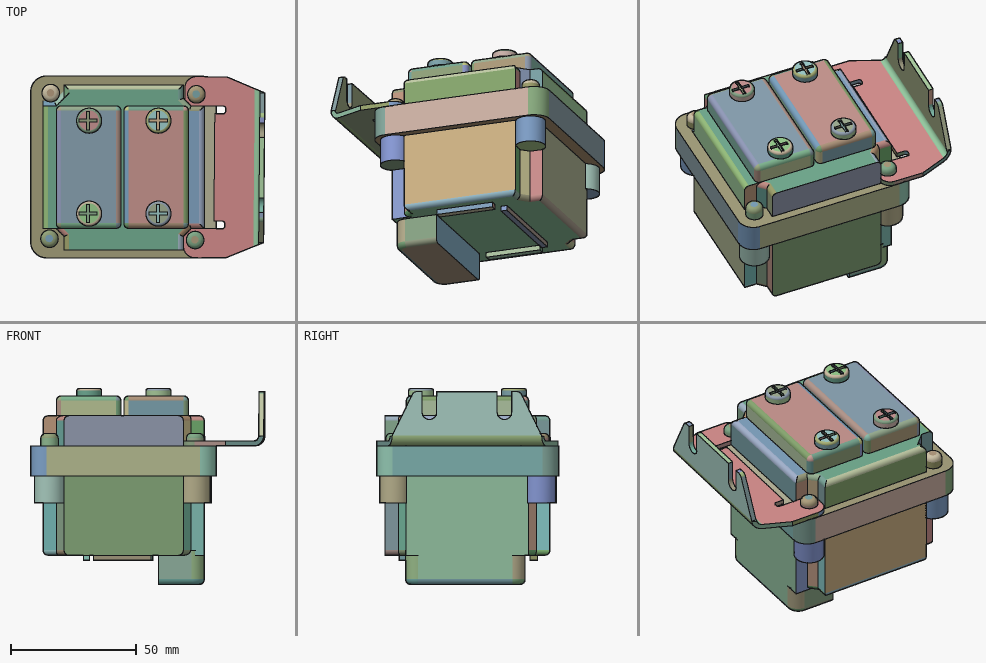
import cadquery as cq


FLANGE_X = 74.0
FLANGE_Y = 72.58
FLANGE_THICKNESS = 12.0
FLANGE_CORNER_RADIUS = 6.5

HOUSING_CENTRE = (0.1, -0.15)
HOUSING_HALF_X = 32.1
HOUSING_HALF_Y = 32.85
ARM_HALF_X = 23.75
ARM_HALF_Y = 24.4
CORNER_STEP = 3.1
HOUSING_TOP = 12.0
HOUSING_BOTTOM = -43.57
EDGE_RADIUS = 2.0
TOLERANCE = 0.01

COVERS_CENTRE_X = -0.4
COVER_CENTRE_Y = -0.1
COVER_WIDTH = 25.8
COVER_LENGTH = 2 * ARM_HALF_Y
COVER_GAP = 1.1
COVER_HEIGHT = 7.9
COVER_TOP = HOUSING_TOP + COVER_HEIGHT
TERMINAL_CENTRE_X = 0.15
TERMINAL_PITCH_X = 27.6
TERMINAL_PITCH_Y = 37.0
TERMINAL_DIAMETER = 10.0
TERMINAL_HEIGHT = 3.0
TERMINAL_RADIUS = 1.0
CROSS_LENGTH = 7.2
CROSS_WIDTH = 1.2
CROSS_DEPTH = 1.0
CROSS_SHIFTS = {-1: -0.5, 1: -0.1}

PATTERN_ORIGIN = (-0.2, 0.15)
PATTERN_ANGLE = -0.5
SCREW_PITCH = 58.0
SCREW_HEAD_DIAMETER = 7.0
SCREW_HEAD_HEIGHT = 5.0
SCREW_HEAD_RADIUS = 2.0
BOSS_DIAMETER = 12.0
BOSS_BOTTOM = -22.66

SHEET = 2.0
BEND_RADIUS = 2 * SHEET
BRACKET_HALF_Y = 36.05
BRACKET_START = 24.4
BRACKET_END = 56.3
BRACKET_CORNER_RADIUS = 4.5
TAPER_START = 41.2
TAPER_END = BRACKET_END - BEND_RADIUS
UPRIGHT_TOP = 21.6
UPRIGHT_HALF_BASE = 29.8
UPRIGHT_HALF_TOP = 21.2
EAR_RADIUS = 2.0
FORK_WIDTH = 5.8
FORK_PITCH = 29.9
FORK_CENTRE_Z = 13.4
WINDOW_END = 36.4
WINDOW_HALF_Y = ARM_HALF_Y
RELIEF_END = 40.7
RELIEF_WIDTH = 3.0
RELIEF_RADIUS = 1.0

FOOT_START = 13.9
FOOT_END = HOUSING_CENTRE[0] + HOUSING_HALF_X
FOOT_CENTRE_Y = -0.95
FOOT_LENGTH = 47.6
FOOT_BOTTOM = -55.2
FOOT_CORNER_RADIUS = 5.0
RIB_HEIGHT = 2.0
SIDE_RIB_START = -12.0
SIDE_RIB_WIDTH = 3.1
REAR_RIB = (26.3, 11.7)
FRONT_RIB = (-25.8, 10.95)
END_RIB_X = -14.75
END_RIB_WIDTH = 2.5
END_RIB_LENGTH = 44.5


def block(x_range, y_range, z_range):
    size = [end - start for start, end in (x_range, y_range, z_range)]
    corner = (x_range[0], y_range[0], z_range[0])
    return cq.Workplane("XY").box(*size, centered=False).translate(corner)


def span(centre, length):
    return (centre - length / 2, centre + length / 2)


def cylinder(diameter, bottom, top):
    return cq.Workplane("XY").workplane(offset=bottom).circle(diameter / 2).extrude(top - bottom)


def at_pattern(shape):
    """Turn a shape made about the screw pattern axis and put it in place."""
    return shape.rotate((0, 0, 0), (0, 0, 1), PATTERN_ANGLE).translate((*PATTERN_ORIGIN, 0))


def cross_outline():
    quarter = [
        (HOUSING_HALF_X, ARM_HALF_Y),
        (ARM_HALF_X + CORNER_STEP, ARM_HALF_Y),
        (ARM_HALF_X, ARM_HALF_Y + CORNER_STEP),
        (ARM_HALF_X, HOUSING_HALF_Y),
    ]
    mirrored = [(-x, y) for x, y in reversed(quarter)]
    upper = quarter + mirrored
    return upper + [(-x, -y) for x, y in upper]


def outline_edges(shape, height, excluded):
    """Edges of the cross outline at one height, without the excluded ones."""
    kept = []
    at_centre = cq.selectors.NearestToPointSelector((*HOUSING_CENTRE, height))
    for edge in shape.faces(at_centre).edges().vals():
        middle = edge.Center()
        place = (middle.x - HOUSING_CENTRE[0], middle.y - HOUSING_CENTRE[1])
        if not any(test(*place) for test in excluded):
            kept.append(edge)
    return kept


def on_front_face(x, y):
    return y < -HOUSING_HALF_Y + EDGE_RADIUS


def on_left_arm_side(x, y):
    return x < -ARM_HALF_X - CORNER_STEP and abs(y) > ARM_HALF_Y / 2


def on_right_arm(x, y):
    return x > ARM_HALF_X + CORNER_STEP


def on_rear_left_step(x, y):
    return -ARM_HALF_X - CORNER_STEP < x < -ARM_HALF_X and y > ARM_HALF_Y


def make_housing():
    housing = (
        cq.Workplane("XY")
        .workplane(offset=HOUSING_BOTTOM)
        .polyline(cross_outline())
        .close()
        .extrude(HOUSING_TOP - HOUSING_BOTTOM)
        .translate((*HOUSING_CENTRE, 0))
    )
    plain_top = [on_front_face, on_left_arm_side, on_rear_left_step]
    top = outline_edges(housing, HOUSING_TOP, plain_top)
    housing = housing.newObject(top).fillet(EDGE_RADIUS)
    bottom = outline_edges(housing, HOUSING_BOTTOM, [on_front_face, on_right_arm])
    return housing.newObject(bottom).fillet(EDGE_RADIUS)


def make_flange():
    flange = block(span(0, FLANGE_X), span(0, FLANGE_Y), (-FLANGE_THICKNESS, 0))
    return flange.edges("|Z").fillet(FLANGE_CORNER_RADIUS)


def add_root_fillet(body):
    """Blend the rear left step and arm side of the housing into the flange."""
    roots = []
    for edge in body.edges("#Z").vals():
        middle = edge.Center()
        x = middle.x - HOUSING_CENTRE[0]
        y = middle.y - HOUSING_CENTRE[1]
        inside = abs(x) < HOUSING_HALF_X and abs(y) < HOUSING_HALF_Y
        on_arm = on_left_arm_side(x, y) and y > 0
        if abs(middle.z) < TOLERANCE and inside and (on_arm or on_rear_left_step(x, y)):
            roots.append(edge)
    return body.newObject(roots).fillet(EDGE_RADIUS)


def make_cover(side):
    centre_x = COVERS_CENTRE_X + side * (COVER_WIDTH + COVER_GAP) / 2
    cover = block(
        span(centre_x, COVER_WIDTH),
        span(COVER_CENTRE_Y, COVER_LENGTH),
        (HOUSING_TOP, COVER_TOP),
    )
    return cover.edges("|Z or >Z").fillet(EDGE_RADIUS)


def make_terminal_screw(cross_x):
    top = COVER_TOP + TERMINAL_HEIGHT
    screw = cylinder(TERMINAL_DIAMETER, COVER_TOP, top).faces(">Z").edges().fillet(TERMINAL_RADIUS)
    depth = (top - CROSS_DEPTH, top)
    for length_x, length_y in ((CROSS_LENGTH, CROSS_WIDTH), (CROSS_WIDTH, CROSS_LENGTH)):
        screw = screw.cut(block(span(cross_x, length_x), span(0, length_y), depth))
    return screw


def make_corner_screw():
    head = cylinder(SCREW_HEAD_DIAMETER, 0, SCREW_HEAD_HEIGHT)
    head = head.faces(">Z").edges().fillet(SCREW_HEAD_RADIUS)
    return head.union(cylinder(BOSS_DIAMETER, BOSS_BOTTOM, -FLANGE_THICKNESS))


def make_bracket():
    profile = (
        cq.Workplane("XZ")
        .moveTo(BRACKET_START, 0)
        .lineTo(TAPER_END, 0)
        .radiusArc((BRACKET_END, BEND_RADIUS), -BEND_RADIUS)
        .lineTo(BRACKET_END, UPRIGHT_TOP)
        .lineTo(BRACKET_END - SHEET, UPRIGHT_TOP)
        .lineTo(BRACKET_END - SHEET, BEND_RADIUS)
        .radiusArc((TAPER_END, SHEET), BEND_RADIUS - SHEET)
        .lineTo(BRACKET_START, SHEET)
        .close()
        .extrude(BRACKET_HALF_Y, both=True)
    )
    plan = (
        cq.Workplane("XY")
        .polyline([
            (BRACKET_START, -BRACKET_HALF_Y),
            (TAPER_START, -BRACKET_HALF_Y),
            (BRACKET_END, -UPRIGHT_HALF_BASE),
            (BRACKET_END, UPRIGHT_HALF_BASE),
            (TAPER_START, BRACKET_HALF_Y),
            (BRACKET_START, BRACKET_HALF_Y),
        ])
        .close()
        .extrude(UPRIGHT_TOP)
        .edges("|Z and <X")
        .fillet(BRACKET_CORNER_RADIUS)
    )
    upright = (
        cq.Workplane("YZ")
        .polyline([
            (-BRACKET_HALF_Y, 0),
            (BRACKET_HALF_Y, 0),
            (BRACKET_HALF_Y, SHEET),
            (UPRIGHT_HALF_BASE, BEND_RADIUS),
            (UPRIGHT_HALF_TOP, UPRIGHT_TOP),
            (-UPRIGHT_HALF_TOP, UPRIGHT_TOP),
            (-UPRIGHT_HALF_BASE, BEND_RADIUS),
            (-BRACKET_HALF_Y, SHEET),
        ])
        .close()
        .extrude(BRACKET_END)
        .edges("|X and >Z")
        .fillet(EAR_RADIUS)
    )
    bracket = profile.intersect(plan).intersect(upright)
    bracket = bracket.cut(make_window())
    for side in (-1, 1):
        bracket = bracket.cut(make_fork_slot(side * FORK_PITCH / 2))
    return bracket


def make_fork_slot(centre_y):
    slot = block((TAPER_END, BRACKET_END), span(centre_y, FORK_WIDTH), (FORK_CENTRE_Z, UPRIGHT_TOP))
    end = (
        cq.Workplane("YZ")
        .workplane(offset=TAPER_END)
        .center(centre_y, FORK_CENTRE_Z)
        .circle(FORK_WIDTH / 2)
        .extrude(BEND_RADIUS)
    )
    return slot.union(end)


def make_window():
    """Opening around the housing arm, with a relief notch at both outer corners."""
    window = block((BRACKET_START, WINDOW_END), span(0, 2 * WINDOW_HALF_Y), (0, SHEET))
    for side in (-1, 1):
        centre_y = side * (WINDOW_HALF_Y - RELIEF_WIDTH / 2)
        notch = block((BRACKET_START, RELIEF_END), span(centre_y, RELIEF_WIDTH), (0, SHEET))
        window = window.union(notch.edges("|Z and >X").fillet(RELIEF_RADIUS))
    return window


def make_foot():
    foot = block(
        (FOOT_START, FOOT_END),
        span(FOOT_CENTRE_Y, FOOT_LENGTH),
        (FOOT_BOTTOM, HOUSING_BOTTOM + EDGE_RADIUS),
    )
    foot = foot.edges("|Z and >X").fillet(FOOT_CORNER_RADIUS)
    rim = foot.faces("<Z").edges("not <X")
    return rim.fillet(EDGE_RADIUS)


def make_ribs():
    heights = (HOUSING_BOTTOM - RIB_HEIGHT, HOUSING_BOTTOM)
    ribs = block(span(END_RIB_X, END_RIB_WIDTH), span(0, END_RIB_LENGTH), heights)
    for centre_y, rib_end in (REAR_RIB, FRONT_RIB):
        rib_x = (SIDE_RIB_START, rib_end)
        ribs = ribs.union(block(rib_x, span(centre_y, SIDE_RIB_WIDTH), heights))
    return ribs


body = add_root_fillet(make_housing().union(make_flange()))

for side in (-1, 1):
    body = body.union(make_cover(side))

corner_screw = make_corner_screw()
for side_x in (-1, 1):
    terminal_screw = make_terminal_screw(CROSS_SHIFTS[side_x])
    for side_y in (-1, 1):
        terminal_x = TERMINAL_CENTRE_X + side_x * TERMINAL_PITCH_X / 2
        terminal_y = COVER_CENTRE_Y + side_y * TERMINAL_PITCH_Y / 2
        body = body.union(terminal_screw.translate((terminal_x, terminal_y, 0)))
        corner = (side_x * SCREW_PITCH / 2, side_y * SCREW_PITCH / 2, 0)
        body = body.union(at_pattern(corner_screw.translate(corner)))

result = body.union(at_pattern(make_bracket())).union(make_foot()).union(make_ribs())